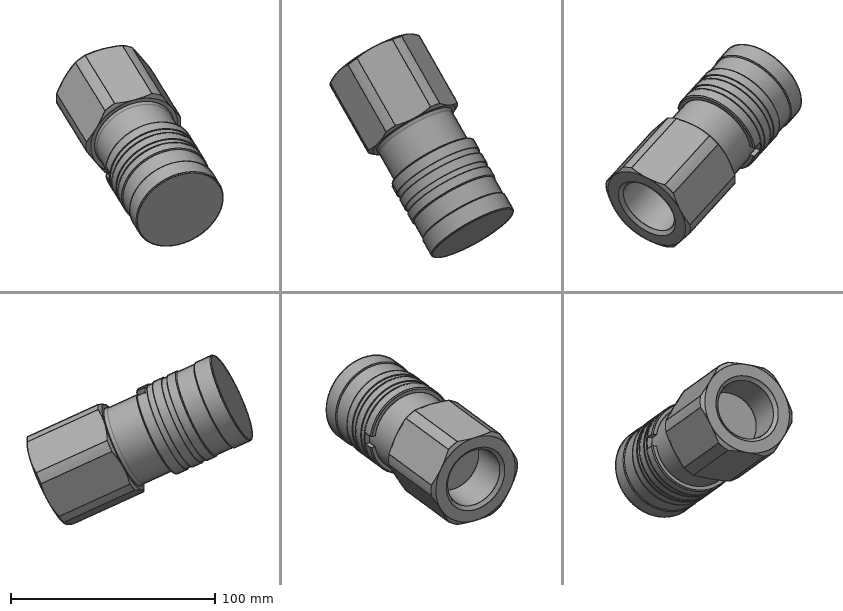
import cadquery as cq
import math

total_length = 100.8

hex_flats = 46.0
hex_corner_diameter = 50.0
hex_length = 41.1
hex_face_diameter = hex_flats
hex_chamfer_angle = 30.0

bore_diameter = 30.2
bore_mouth_diameter = 33.9
bore_mouth_depth = 1.7
bore_depth = 21.0

neck_diameter = 41.0
collar_diameter = 41.9
collar_end = 42.9

sleeve_diameter = 46.0
sleeve_start = 59.7
sleeve_start_chamfer = 0.6
sleeve_end_chamfer = 0.5
groove_depth = 0.5
square_grooves = [(65.6, 68.7), (73.7, 76.6)]
band_start = 81.8
band_end = 91.2
band_shoulder_slope = 1.0

slot_width = 6.0
slot_length = 5.0


def cylinder(diameter, start, end):
    return cq.Workplane("YZ", origin=(start, 0, 0)).circle(diameter / 2).extrude(end - start)


def revolved(points):
    """Turn a closed (X, radius) outline about the X axis."""
    return cq.Workplane("XY").polyline(points).close().revolve(360, (0, 0, 0), (1, 0, 0))


def make_hexagon():
    sharp_corner_diameter = hex_flats / math.cos(math.pi / 6)
    prism = cq.Workplane("YZ").polygon(6, sharp_corner_diameter).extrude(hex_length)
    face_radius = hex_face_diameter / 2
    corner_radius = hex_corner_diameter / 2
    chamfer = (corner_radius - face_radius) * math.tan(math.radians(hex_chamfer_angle))
    envelope = revolved([
        (0, 0),
        (0, face_radius),
        (chamfer, corner_radius),
        (hex_length - chamfer, corner_radius),
        (hex_length, face_radius),
        (hex_length, 0),
    ])
    return prism.intersect(envelope)


def make_neck():
    collar = revolved([
        (hex_length, 0),
        (hex_length, collar_diameter / 2),
        (collar_end, neck_diameter / 2),
        (collar_end, 0),
    ])
    return cylinder(neck_diameter, hex_length, total_length).union(collar)


def make_groove(start, end, shoulder_slope):
    """Ring to cut from the sleeve; start and end are the floor edges, slope is axial run per radial rise."""
    floor_radius = sleeve_diameter / 2 - groove_depth
    clear_radius = sleeve_diameter / 2 + groove_depth
    run = shoulder_slope * (clear_radius - floor_radius)
    return revolved([
        (start, floor_radius),
        (start - run, clear_radius),
        (end + run, clear_radius),
        (end, floor_radius),
    ])


def make_sleeve():
    sleeve = cylinder(sleeve_diameter, sleeve_start, total_length)
    sleeve = sleeve.faces("<X").chamfer(sleeve_start_chamfer)
    sleeve = sleeve.faces(">X").chamfer(sleeve_end_chamfer)

    for start, end in square_grooves:
        sleeve = sleeve.cut(make_groove(start, end, 0))
    sleeve = sleeve.cut(make_groove(band_start, band_end, band_shoulder_slope))

    slot = cq.Workplane("XY").box(2 * slot_length, 2 * sleeve_diameter, slot_width)
    return sleeve.cut(slot.translate((sleeve_start, 0, 0)))


def make_bore():
    bore = cylinder(bore_diameter, 0, bore_depth)
    mouth = revolved([
        (0, 0),
        (0, bore_mouth_diameter / 2),
        (bore_mouth_depth, bore_diameter / 2),
        (bore_mouth_depth, 0),
    ])
    return bore.union(mouth)


result = make_hexagon().union(make_neck()).union(make_sleeve()).cut(make_bore())